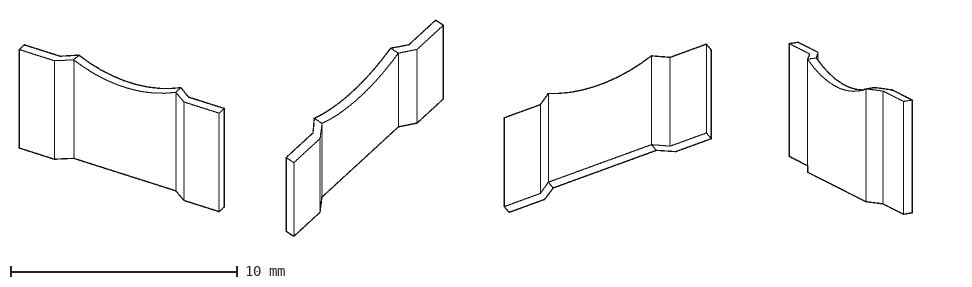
import cadquery as cq
import math

length = 10.2
depth = 0.94
height = 5.2

thickness = 0.45
web_length = 5.2
front_bend_x = 3.3
back_bend_x = 3.27
notch_radius = 6.0

half_length = length / 2
half_web = web_length / 2
front_y = -depth / 2
back_y = depth / 2
tab_back_y = front_y + thickness
web_front_y = back_y - thickness
notch_depth = notch_radius - math.sqrt(notch_radius**2 - half_web**2)


def make_web():
    """Flat middle plate with a shallow arc cut into its top edge."""
    return (
        cq.Workplane("XZ", origin=(0, back_y, 0))
        .moveTo(-half_web, 0)
        .lineTo(half_web, 0)
        .lineTo(half_web, height)
        .threePointArc((0, height - notch_depth), (-half_web, height))
        .close()
        .extrude(thickness)
    )


def make_leg(side):
    """Bent end plate, on the +X side for side = 1 and the -X side for side = -1."""
    outline = [
        (side * half_web, web_front_y),
        (side * front_bend_x, front_y),
        (side * half_length, front_y),
        (side * half_length, tab_back_y),
        (side * back_bend_x, tab_back_y),
        (side * half_web, back_y),
    ]
    return cq.Workplane("XY").polyline(outline).close().extrude(height)


web = make_web()
legs = [make_leg(side) for side in (-1, 1)]

result = cq.Compound.makeCompound([web.val(), *[leg.val() for leg in legs]])